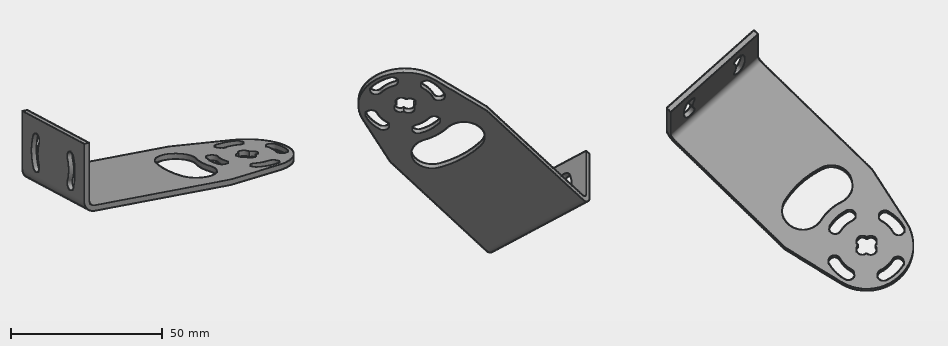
import cadquery as cq
import math

width = 40.0
length = 90.0
height = 24.0
thickness = 2.0
bend_inner_radius = 2.0
bend_outer_radius = bend_inner_radius + thickness

nose_radius = 15.5
shoulder_y = 56.3
nose_y = length - nose_radius

slot_width = 4.05
slot_path_radius = 12.0
base_slot_half_angle = 16.0
flange_slot_half_angle = 23.0
flange_slot_height = height / 2

window_width = 13.9
window_path_radius = 24.4
window_half_angle = 15.5

lobe_radius = 2.0


def polar(radius, degrees):
    angle = math.radians(degrees)
    return (radius * math.cos(angle), radius * math.sin(angle))


def curved_slot(plane, path_radius, slot_size, direction, half_angle, depth):
    """Cutter with round ends that follows an arc about the plane origin."""
    inner = path_radius - slot_size / 2
    outer = path_radius + slot_size / 2
    start = direction - half_angle
    end = direction + half_angle

    def end_tip(angle, turn):
        center_x, center_y = polar(path_radius, angle)
        offset_x, offset_y = polar(slot_size / 2, angle + turn)
        return (center_x + offset_x, center_y + offset_y)

    return (
        cq.Workplane(plane)
        .moveTo(*polar(inner, start))
        .threePointArc(polar(inner, direction), polar(inner, end))
        .threePointArc(end_tip(end, 90), polar(outer, end))
        .threePointArc(polar(outer, direction), polar(outer, start))
        .threePointArc(end_tip(start, -90), polar(inner, start))
        .close()
        .extrude(depth, both=True)
    )


def bent_sheet():
    """L-shaped sheet: base along Y, flange rising at Y = 0."""
    return (
        cq.Workplane("YZ")
        .moveTo(length, 0)
        .lineTo(bend_outer_radius, 0)
        .radiusArc((0, bend_outer_radius), bend_outer_radius)
        .lineTo(0, height)
        .lineTo(thickness, height)
        .lineTo(thickness, bend_outer_radius)
        .radiusArc((bend_outer_radius, thickness), -bend_inner_radius)
        .lineTo(length, thickness)
        .close()
        .extrude(width / 2, both=True)
    )


def base_outline():
    """Plan shape whose tapered sides run tangent into the round nose."""
    shoulder_x = width / 2
    drop = nose_y - shoulder_y
    shoulder_distance = math.hypot(shoulder_x, drop)
    tangent_angle = math.acos(nose_radius / shoulder_distance) - math.atan2(drop, shoulder_x)
    tangent_x = nose_radius * math.cos(tangent_angle)
    tangent_y = nose_y + nose_radius * math.sin(tangent_angle)
    return (
        cq.Workplane("XY")
        .moveTo(-shoulder_x, 0)
        .lineTo(shoulder_x, 0)
        .lineTo(shoulder_x, shoulder_y)
        .lineTo(tangent_x, tangent_y)
        .threePointArc((0, length), (-tangent_x, tangent_y))
        .lineTo(-shoulder_x, shoulder_y)
        .close()
        .extrude(height)
    )


result = bent_sheet().intersect(base_outline())

nose_plane = cq.Plane(origin=(0, nose_y, 0), xDir=(1, 0, 0), normal=(0, 0, 1))
cut_depth = 2 * thickness
for direction in (0, 90, 180, 270):
    result = result.cut(
        curved_slot(nose_plane, slot_path_radius, slot_width, direction, base_slot_half_angle, cut_depth)
    )
    lobe = (
        cq.Workplane(nose_plane)
        .center(*polar(lobe_radius, direction))
        .circle(lobe_radius)
        .extrude(cut_depth)
    )
    result = result.cut(lobe)

lobe_core = cq.Workplane(nose_plane).rect(2 * lobe_radius, 2 * lobe_radius).extrude(cut_depth)
result = result.cut(lobe_core)

window = curved_slot(
    nose_plane, window_path_radius, window_width, 270, window_half_angle, cut_depth
)
result = result.cut(window)

flange_plane = cq.Plane(origin=(0, 0, flange_slot_height), xDir=(1, 0, 0), normal=(0, -1, 0))
for direction in (0, 180):
    result = result.cut(
        curved_slot(flange_plane, slot_path_radius, slot_width, direction, flange_slot_half_angle, cut_depth)
    )